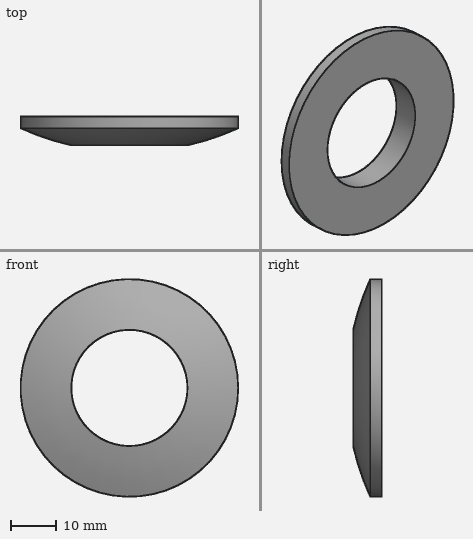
import cadquery as cq
import math

outer_radius = 24.0
bore_radius = 12.75
thickness = 6.4
rim_thickness = 2.6

dome_rise = thickness - rim_thickness
height_sum = (outer_radius**2 - bore_radius**2) / dome_rise
rim_height = (height_sum - dome_rise) / 2
sphere_radius = math.hypot(outer_radius, rim_height)
sphere_center_y = rim_height - rim_thickness

middle_radius = (outer_radius + bore_radius) / 2
middle_y = sphere_center_y - math.sqrt(sphere_radius**2 - middle_radius**2)

section = (
    cq.Workplane("XY")
    .moveTo(bore_radius, 0)
    .lineTo(outer_radius, 0)
    .lineTo(outer_radius, -rim_thickness)
    .threePointArc((middle_radius, middle_y), (bore_radius, -thickness))
    .close()
)

result = section.revolve(360, (0, 0, 0), (0, 1, 0))